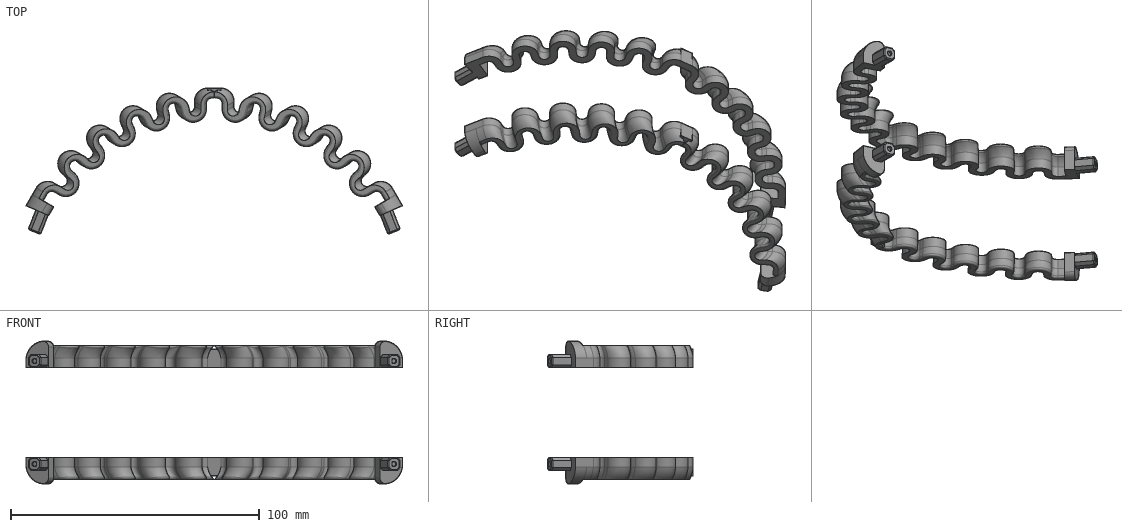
import cadquery as cq
import math

CREST_CIRCLE_RADIUS = 78.5
TROUGH_CIRCLE_RADIUS = 77.0
BEND_PITCH_ANGLE = 11.32
FIRST_CREST_ANGLE = 1.94
CREST_COUNT = 6
BEND_RADIUS = 3.8
STRIP_THICKNESS = 3.0

UPRIGHT_HEIGHT = 4.0
STRIP_HEIGHT = 9.0
RIM_FILLET_RADIUS = 0.7
LEAN_RADIUS = 8.2
LEAN_CENTER_HEIGHT = 2.535

ARM_ANGLE = 60.0
END_FACE_ANGLE = 23.5
ARM_LENGTH = 8.25
BLOCK_START = 3.1
BLOCK_WIDTH = 9.9
BLOCK_CORNER_WIDTH = 3.0
BLOCK_CORNER_DROP = 2.4
PEG_ANGLE = 21.5
PEG_SIZE = 5.4
PEG_CHAMFER = 1.2
PEG_LENGTH = 8.35
PEG_TIP_CHAMFER = 0.5
PEG_OFFSET = 7.0
PEG_EMBED = 1.5
PEG_HOLE_DIAMETER = 2.0
PEG_HOLE_DEPTH = 1.0

FILLER_HEIGHT = 7.5

BODY_GAP = 36.0
TRIM_SIZE = 400.0
RIM_MATCH_TOLERANCE = 0.05


def polar(radius, degrees):
    angle = math.radians(degrees)
    return cq.Vector(radius * math.cos(angle), radius * math.sin(angle), 0)


HALF_THICKNESS = STRIP_THICKNESS / 2
ARM_DIRECTION = polar(1, 180 + ARM_ANGLE)
LEAN_DIRECTION = polar(1, ARM_ANGLE - 90)


def lean(height):
    """Inward shift of the leaning wall at a height above the flat side."""
    def arc_reach(z):
        return math.sqrt(LEAN_RADIUS ** 2 - (z - LEAN_CENTER_HEIGHT) ** 2)
    return arc_reach(UPRIGHT_HEIGHT) - arc_reach(height)


def shift_at(height):
    """Position of the strip's plan outline at a height."""
    return LEAN_DIRECTION * lean(height) + cq.Vector(0, 0, height)


bend_centers = []
for step in range(2 * CREST_COUNT - 1):
    radius = CREST_CIRCLE_RADIUS if step % 2 == 0 else TROUGH_CIRCLE_RADIUS
    bend_centers.append(polar(radius, 90 + FIRST_CREST_ANGLE + step * BEND_PITCH_ANGLE / 2))
ARM_START = bend_centers[-1]
OUTER_CORNER = ARM_START + ARM_DIRECTION * ARM_LENGTH - LEAN_DIRECTION * (BEND_RADIUS + HALF_THICKNESS)


def tangent_angle(index):
    """Direction from a bend's centre to where it meets the straight leg to the next bend."""
    span = bend_centers[index + 1] - bend_centers[index]
    spread = math.degrees(math.acos(2 * BEND_RADIUS / span.Length))
    turn = 1 if index % 2 == 0 else -1
    return math.degrees(math.atan2(span.y, span.x)) - turn * spread


def side_edges(offset):
    """One side of the strip in plan; a positive offset is the outward side."""
    last = len(bend_centers) - 1
    end = None
    edges = []
    for index, center in enumerate(bend_centers):
        turn = 1 if index % 2 == 0 else -1
        radius = BEND_RADIUS + turn * offset
        start_angle = 90 if index == 0 else tangent_angle(index - 1) + 180
        end_angle = 90 + ARM_ANGLE if index == last else tangent_angle(index)
        sweep_angle = turn * ((turn * (end_angle - start_angle)) % 360)
        start = center + polar(radius, start_angle)
        middle = center + polar(radius, start_angle + sweep_angle / 2)
        if end is not None:
            edges.append(cq.Edge.makeLine(end, start))
        end = center + polar(radius, start_angle + sweep_angle)
        edges.append(cq.Edge.makeThreePointArc(start, middle, end))
    edges.append(cq.Edge.makeLine(end, end + ARM_DIRECTION * BLOCK_START))
    return edges


def half_strip():
    """Left half of the strip: an upright wall carrying a wall that leans without turning."""
    outer = side_edges(HALF_THICKNESS)
    inner = side_edges(-HALF_THICKNESS)
    middle_cap = cq.Edge.makeLine(inner[0].startPoint(), outer[0].startPoint())
    arm_cap = cq.Edge.makeLine(outer[-1].endPoint(), inner[-1].endPoint())
    outline = cq.Wire.assembleEdges(outer + [arm_cap] + inner[::-1] + [middle_cap])
    upright = cq.Solid.extrudeLinear(outline, [], cq.Vector(0, 0, UPRIGHT_HEIGHT))

    lean_path = cq.Edge.makeThreePointArc(
        shift_at(UPRIGHT_HEIGHT),
        shift_at((UPRIGHT_HEIGHT + STRIP_HEIGHT) / 2),
        shift_at(STRIP_HEIGHT),
    )
    leaning = cq.Solid.sweep(
        outline.translate(shift_at(UPRIGHT_HEIGHT)),
        [],
        cq.Wire.assembleEdges([lean_path]),
        mode=cq.Vector(0, 0, 1),
    )
    rim_points = [edge.positionAt(0.5) + shift_at(STRIP_HEIGHT) for edge in inner]
    rim_edges = [
        edge
        for edge in leaning.Edges()
        if any((edge.positionAt(0.5) - point).Length < RIM_MATCH_TOLERANCE for point in rim_points)
    ]
    rounded = leaning.fillet(RIM_FILLET_RADIUS, rim_edges)
    return cq.Workplane(upright).union(cq.Workplane(rounded))


def middle_filler():
    """Upright straight middle of the strip, between the first crests of the two halves."""
    length = 2 * abs(bend_centers[0].x)
    return (
        cq.Workplane()
        .box(length, STRIP_THICKNESS, FILLER_HEIGHT, centered=(True, True, False))
        .translate((0, bend_centers[0].y + BEND_RADIUS, 0))
    )


def end_block():
    """D-shaped block whose outer wall leans like the strip, trimmed by the slanted end face."""
    origin = OUTER_CORNER + ARM_DIRECTION * (BLOCK_START - ARM_LENGTH)
    crown = LEAN_CENTER_HEIGHT + LEAN_RADIUS
    crown_reach = BLOCK_WIDTH - BLOCK_CORNER_WIDTH
    overshoot = lean(crown) - crown_reach
    arc_end = LEAN_CENTER_HEIGHT + math.sqrt(LEAN_RADIUS ** 2 - overshoot ** 2)
    arc_middle = (UPRIGHT_HEIGHT + arc_end) / 2
    plane = cq.Plane(origin=origin, xDir=LEAN_DIRECTION, normal=ARM_DIRECTION)
    block = (
        cq.Workplane(plane)
        .lineTo(0, UPRIGHT_HEIGHT)
        .threePointArc((lean(arc_middle), arc_middle), (crown_reach, arc_end))
        .tangentArcPoint((BLOCK_WIDTH, crown - BLOCK_CORNER_DROP), relative=False)
        .lineTo(BLOCK_WIDTH, 0)
        .close()
        .extrude(ARM_LENGTH)
    )
    end_plane = cq.Plane(
        origin=OUTER_CORNER, xDir=polar(1, -END_FACE_ANGLE), normal=polar(1, -END_FACE_ANGLE - 90)
    )
    beyond_end = cq.Workplane(end_plane).rect(TRIM_SIZE, TRIM_SIZE).extrude(TRIM_SIZE)
    return block.cut(beyond_end)


def peg():
    """Square peg with chamfered long edges and tip, standing out of the end face."""
    root = OUTER_CORNER + polar(PEG_OFFSET, -END_FACE_ANGLE)
    axis = polar(1, -90 - PEG_ANGLE)
    plane = cq.Plane(
        origin=root + cq.Vector(0, 0, PEG_SIZE / 2) - axis * PEG_EMBED,
        xDir=polar(1, -PEG_ANGLE),
        normal=axis,
    )
    return (
        cq.Workplane(plane)
        .rect(PEG_SIZE, PEG_SIZE)
        .extrude(PEG_EMBED + PEG_LENGTH)
        .edges(cq.selectors.ParallelDirSelector(axis))
        .chamfer(PEG_CHAMFER)
        .faces(cq.selectors.DirectionMinMaxSelector(axis, True))
        .chamfer(PEG_TIP_CHAMFER)
        .faces(cq.selectors.DirectionMinMaxSelector(axis, True))
        .workplane()
        .hole(PEG_HOLE_DIAMETER, PEG_HOLE_DEPTH)
    )


def expander_strip():
    """Complete strip with its flat side at Z = 0 and leaning towards +Z."""
    right_side = cq.Workplane().box(TRIM_SIZE, TRIM_SIZE, TRIM_SIZE).translate((TRIM_SIZE / 2, 0, 0))
    left = half_strip().union(end_block()).union(peg()).cut(right_side)
    return left.union(middle_filler()).union(left.mirror("YZ"))


upper_strip = expander_strip().translate((0, 0, BODY_GAP / 2))
lower_strip = upper_strip.mirror("XY")

result = cq.Compound.makeCompound([upper_strip.val(), lower_strip.val()])